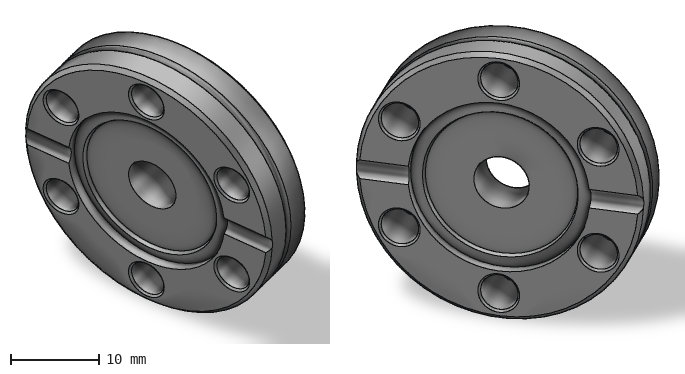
import cadquery as cq
import math

outer_diameter = 33.8
thickness = 7.6
edge_chamfer = 0.5
bore_diameter = 6.5

bolt_count = 6
bolt_circle_diameter = 27.0
bolt_diameter = 4.4
bolt_chamfer = 0.255

recess_diameter = 21.4
knife_tip_diameter = 18.32
knife_tip_depth = 0.68
knife_slope = 20.0
floor_diameter = 17.9
floor_depth = 1.18

leak_groove_width = 2.35
leak_groove_depth = 0.6

rim_groove_width = 0.98
rim_groove_depth = 0.27

outer_radius = outer_diameter / 2
half_thickness = thickness / 2
knife_width = (recess_diameter - knife_tip_diameter) / 2
recess_depth = knife_tip_depth + knife_width * math.tan(math.radians(knife_slope))


def arc_radius(chord, depth):
    """Radius of the circle whose segment has this chord and depth."""
    return ((chord / 2) ** 2 + depth ** 2) / (2 * depth)


def revolve_profile(profile):
    """Turn a closed (radius, Y) profile about the Y axis."""
    return profile.close().revolve(360, (0, 0, 0), (0, 1, 0))


def make_disc():
    blank = cq.Workplane("XZ").circle(outer_radius).extrude(half_thickness, both=True)
    blank = blank.faces("<Y or >Y").edges().chamfer(edge_chamfer)
    bore = cq.Workplane("XZ").circle(bore_diameter / 2).extrude(thickness, both=True)
    return blank.cut(bore)


def make_rim_groove():
    radius = arc_radius(rim_groove_width, rim_groove_depth)
    center_radius = outer_radius - rim_groove_depth + radius
    section = cq.Workplane("XY").center(center_radius, 0).circle(radius)
    return section.revolve(360, (-center_radius, 0, 0), (-center_radius, 1, 0))


def make_bolt_hole():
    """One through hole on the +X side, chamfered at both ends."""
    radius = bolt_diameter / 2
    mouth_radius = radius + bolt_chamfer
    hole = (
        cq.Workplane("XY")
        .moveTo(0, -half_thickness)
        .lineTo(mouth_radius, -half_thickness)
        .lineTo(radius, -half_thickness + bolt_chamfer)
        .lineTo(radius, half_thickness - bolt_chamfer)
        .lineTo(mouth_radius, half_thickness)
        .lineTo(0, half_thickness)
    )
    return revolve_profile(hole).translate((bolt_circle_diameter / 2, 0, 0))


def make_seal_recess():
    """Recess in the -Y face that leaves the knife edge standing."""
    recess = (
        cq.Workplane("XY")
        .moveTo(0, -half_thickness)
        .lineTo(recess_diameter / 2, -half_thickness)
        .lineTo(recess_diameter / 2, -half_thickness + recess_depth)
        .lineTo(knife_tip_diameter / 2, -half_thickness + knife_tip_depth)
        .lineTo(floor_diameter / 2, -half_thickness + floor_depth)
        .lineTo(0, -half_thickness + floor_depth)
    )
    return revolve_profile(recess)


def make_leak_grooves():
    """Pair of grooves in the -Y face, from the rim to the recess on the +X and -X sides."""
    radius = arc_radius(leak_groove_width, leak_groove_depth)
    center_y = -half_thickness + leak_groove_depth - radius
    cutter = cq.Workplane("YZ").center(center_y, 0).circle(radius).extrude(outer_diameter, both=True)
    core = cq.Workplane("XZ").circle(recess_diameter / 2).extrude(thickness, both=True)
    return cutter.cut(core)


result = make_disc().cut(make_rim_groove())

for index in range(bolt_count):
    angle = 90 + index * 360 / bolt_count
    result = result.cut(make_bolt_hole().rotate((0, 0, 0), (0, 1, 0), angle))

for cutter in (make_seal_recess(), make_leak_grooves()):
    result = result.cut(cutter).cut(cutter.mirror("XZ"))